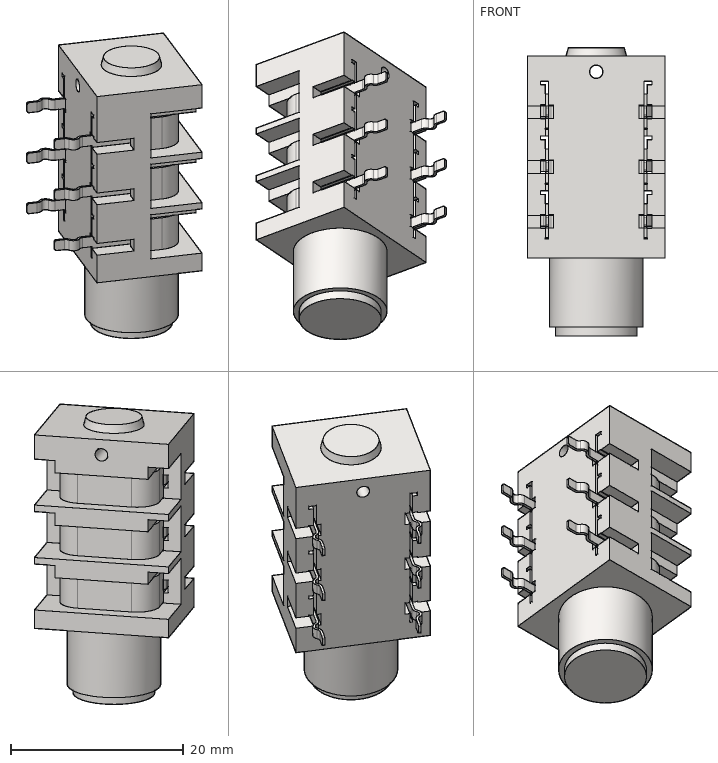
import cadquery as cq
import math


BLOCK_WIDTH = 16.0
BLOCK_FRONT = -6.5
BLOCK_BACK = 6.2
BLOCK_HEIGHT = 23.5

BUTTON_BASE_DIAMETER = 7.05
BUTTON_TOP_DIAMETER = 6.5
BUTTON_HEIGHT = 0.97
BARREL_DIAMETER = 10.9
BARREL_LENGTH = 8.0
BUSH_DIAMETER = 9.5
OVERALL_HEIGHT = 33.5
BUSH_LENGTH = OVERALL_HEIGHT - BLOCK_HEIGHT - BUTTON_HEIGHT - BARREL_LENGTH

CROSS_HOLE_DIAMETER = 1.5
CROSS_HOLE_Z = 21.65

LEVEL_COUNT = 3
LEVEL_PITCH = 6.35
TOP_NOTCH_Z = 20.55
NOTCH_TOPS = [TOP_NOTCH_Z - level * LEVEL_PITCH for level in range(LEVEL_COUNT)]
NOTCH_HEIGHT = 5.55

SLOT_INNER_X = 5.55
SLOT_WIDTH = 0.35
HOOK_OUTER_X = 6.45
HOOK_HEIGHT = 0.4

WEB_HEIGHT = 1.47
CORE_HALF_WIDTH = SLOT_INNER_X + SLOT_WIDTH
CORE_BACK = 4.65
CORE_CORNER_RADIUS = 2.68
CORE_GAP = 0.1

PIN_DROP = 2.85
PIN_HEIGHT = 1.47
POCKET_CLEARANCE = 0.1
POCKET_INNER_X = 5.0
POCKET_DEPTH = 5.35
SIDE_NOTCH_DEPTH = 4.5

PIN_THICKNESS = 0.3
PIN_OUTER_X = SLOT_INNER_X + PIN_THICKNESS
FOOT_BEND_RADIUS = 0.35
TAIL_LENGTH = 4.5
TAIL_HEIGHT = 1.27
TAIL_TIP_RADIUS = 0.25

BUMP_START = 1.1
BUMP_ANGLE = math.radians(58)
BUMP_CREST_RADIUS = 0.77
BUMP_ROOT_RADIUS = 0.55


def box_between(x_range, y_range, z_range):
    """Box with the given low and high limits along each axis."""
    sizes = [high - low for low, high in (x_range, y_range, z_range)]
    corner = (x_range[0], y_range[0], z_range[0])
    return cq.Workplane("XY").box(*sizes, centered=False).translate(corner)


def make_button():
    """Tapered round button on top of the block."""
    return (
        cq.Workplane("XY", origin=(0, 0, BLOCK_HEIGHT))
        .circle(BUTTON_BASE_DIAMETER / 2)
        .workplane(offset=BUTTON_HEIGHT)
        .circle(BUTTON_TOP_DIAMETER / 2)
        .loft(combine=True)
    )


def make_rear_notch(notch_top):
    """Space behind the jack axis at one level, without the web and the core that stay in it."""
    notch_bottom = notch_top - NOTCH_HEIGHT
    web_bottom = notch_top - WEB_HEIGHT
    notch = box_between(
        (-BLOCK_WIDTH / 2, BLOCK_WIDTH / 2), (0, BLOCK_BACK), (notch_bottom, notch_top)
    )
    web = box_between((-SLOT_INNER_X, SLOT_INNER_X), (0, BLOCK_BACK), (web_bottom, notch_top))
    core = box_between(
        (-CORE_HALF_WIDTH, CORE_HALF_WIDTH), (0, CORE_BACK), (notch_bottom + CORE_GAP, web_bottom)
    )
    core = core.edges("|Z and >Y").fillet(CORE_CORNER_RADIUS)
    return notch.cut(web).cut(core)


def make_slot():
    """Upright slot on the +X side, from the top notch to the bottom of the lowest one."""
    return box_between(
        (SLOT_INNER_X, SLOT_INNER_X + SLOT_WIDTH),
        (BLOCK_FRONT, 0),
        (NOTCH_TOPS[-1] - NOTCH_HEIGHT, NOTCH_TOPS[0]),
    )


def make_pin_openings(notch_top):
    """Hook, pin passage, inner pocket and side notch of one level on the +X side."""
    pin_top = notch_top - PIN_DROP
    pin_z = (pin_top - PIN_HEIGHT, pin_top)
    pocket_z = (pin_top - PIN_HEIGHT, pin_top + POCKET_CLEARANCE)
    hook = box_between(
        (SLOT_INNER_X, HOOK_OUTER_X), (BLOCK_FRONT, 0), (notch_top - HOOK_HEIGHT, notch_top)
    )
    passage = box_between((SLOT_INNER_X, HOOK_OUTER_X), (BLOCK_FRONT, 0), pocket_z)
    pocket = box_between(
        (POCKET_INNER_X, SLOT_INNER_X), (BLOCK_FRONT, BLOCK_FRONT + POCKET_DEPTH), pocket_z
    )
    side_notch = box_between(
        (HOOK_OUTER_X, BLOCK_WIDTH / 2), (BLOCK_FRONT, BLOCK_FRONT + SIDE_NOTCH_DEPTH), pin_z
    )
    return hook.union(passage).union(pocket).union(side_notch)


def make_housing():
    """Block with its button and barrel, cut out for the contacts."""
    block = box_between(
        (-BLOCK_WIDTH / 2, BLOCK_WIDTH / 2), (BLOCK_FRONT, BLOCK_BACK), (0, BLOCK_HEIGHT)
    )
    barrel = cq.Workplane("XY").circle(BARREL_DIAMETER / 2).extrude(-BARREL_LENGTH)
    cross_hole = (
        cq.Workplane("XZ", origin=(0, BLOCK_BACK, CROSS_HOLE_Z))
        .circle(CROSS_HOLE_DIAMETER / 2)
        .extrude(BLOCK_BACK - BLOCK_FRONT)
    )
    housing = block.union(barrel).union(make_button()).cut(cross_hole)
    openings = [make_slot()] + [make_pin_openings(notch_top) for notch_top in NOTCH_TOPS]
    for opening in openings:
        housing = housing.cut(opening).cut(opening.mirror("YZ"))
    for notch_top in NOTCH_TOPS:
        housing = housing.cut(make_rear_notch(notch_top))
    return housing


def make_bush():
    """Round bush under the barrel."""
    return (
        cq.Workplane("XY", origin=(0, 0, -BARREL_LENGTH))
        .circle(BUSH_DIAMETER / 2)
        .extrude(-BUSH_LENGTH)
    )


def point_on_arc(center, radius, angle):
    """Point at an angle, measured from +X toward +Y, on a circle."""
    return (center[0] + radius * math.cos(angle), center[1] + radius * math.sin(angle))


def make_shank(bottom, top):
    """Part of a pin inside the block: inward foot with a rounded bend, and straight shank."""
    foot_back = BLOCK_FRONT + POCKET_DEPTH
    foot_front = foot_back - PIN_THICKNESS
    outer_radius = FOOT_BEND_RADIUS + PIN_THICKNESS
    bend_center = (PIN_OUTER_X - outer_radius, foot_back - outer_radius)
    bend_middle = math.radians(45)
    return (
        cq.Workplane("XY", origin=(0, 0, bottom))
        .moveTo(PIN_OUTER_X, BLOCK_FRONT)
        .lineTo(PIN_OUTER_X, bend_center[1])
        .threePointArc(point_on_arc(bend_center, outer_radius, bend_middle), (bend_center[0], foot_back))
        .lineTo(POCKET_INNER_X, foot_back)
        .lineTo(POCKET_INNER_X, foot_front)
        .lineTo(bend_center[0], foot_front)
        .threePointArc(
            point_on_arc(bend_center, FOOT_BEND_RADIUS, bend_middle), (SLOT_INNER_X, bend_center[1])
        )
        .lineTo(SLOT_INNER_X, BLOCK_FRONT)
        .close()
        .extrude(top - bottom)
    )


def bump_arcs(inset):
    """Middle and end points of the three bump arcs, on the face set in from the outward one."""
    root_radius = BUMP_ROOT_RADIUS + inset
    crest_radius = BUMP_CREST_RADIUS - inset
    half_length = (BUMP_ROOT_RADIUS + BUMP_CREST_RADIUS) * math.sin(BUMP_ANGLE)
    center_spacing_x = (BUMP_ROOT_RADIUS + BUMP_CREST_RADIUS) * math.cos(BUMP_ANGLE)
    start_y = BLOCK_FRONT - BUMP_START
    root_x = PIN_OUTER_X + BUMP_ROOT_RADIUS
    first_root = (root_x, start_y)
    crest = (root_x - center_spacing_x, start_y - half_length)
    second_root = (root_x, start_y - 2 * half_length)
    inward = math.pi
    return [
        (
            point_on_arc(first_root, root_radius, inward + BUMP_ANGLE / 2),
            point_on_arc(first_root, root_radius, inward + BUMP_ANGLE),
        ),
        (
            point_on_arc(crest, crest_radius, 0),
            point_on_arc(crest, crest_radius, -BUMP_ANGLE),
        ),
        (
            point_on_arc(second_root, root_radius, inward - BUMP_ANGLE / 2),
            point_on_arc(second_root, root_radius, inward),
        ),
    ]


def make_tail(bottom, top):
    """Part of a pin in front of the block: straight strip with a bump and a rounded tip."""
    tip = BLOCK_FRONT - TAIL_LENGTH
    outer_start = (PIN_OUTER_X, BLOCK_FRONT - BUMP_START)
    inner_start = (SLOT_INNER_X, BLOCK_FRONT - BUMP_START)
    outer_arcs = bump_arcs(0)
    inner_arcs = bump_arcs(PIN_THICKNESS)
    outline = cq.Workplane("XY", origin=(0, 0, bottom)).moveTo(PIN_OUTER_X, BLOCK_FRONT)
    outline = outline.lineTo(*outer_start)
    for middle, end in outer_arcs:
        outline = outline.threePointArc(middle, end)
    outline = outline.lineTo(PIN_OUTER_X, tip).lineTo(SLOT_INNER_X, tip)
    outline = outline.lineTo(*inner_arcs[-1][1])
    arc_starts = [inner_start] + [end for _, end in inner_arcs[:-1]]
    for (middle, _), start in reversed(list(zip(inner_arcs, arc_starts))):
        outline = outline.threePointArc(middle, start)
    outline = outline.lineTo(SLOT_INNER_X, BLOCK_FRONT).close()
    return outline.extrude(top - bottom).edges("|X and <Y").fillet(TAIL_TIP_RADIUS)


def make_pin(notch_top):
    """Flat pin on the +X side, with the tail less tall than the shank."""
    pin_top = notch_top - PIN_DROP
    shank = make_shank(pin_top - PIN_HEIGHT, pin_top)
    tail = make_tail(pin_top - TAIL_HEIGHT, pin_top)
    return shank.union(tail)


housing = make_housing()
bush = make_bush()
pins = []
for level_top in NOTCH_TOPS:
    pin = make_pin(level_top)
    pins.append(pin.val())
    pins.append(pin.mirror("YZ").val())

result = cq.Compound.makeCompound([housing.val(), bush.val(), *pins])